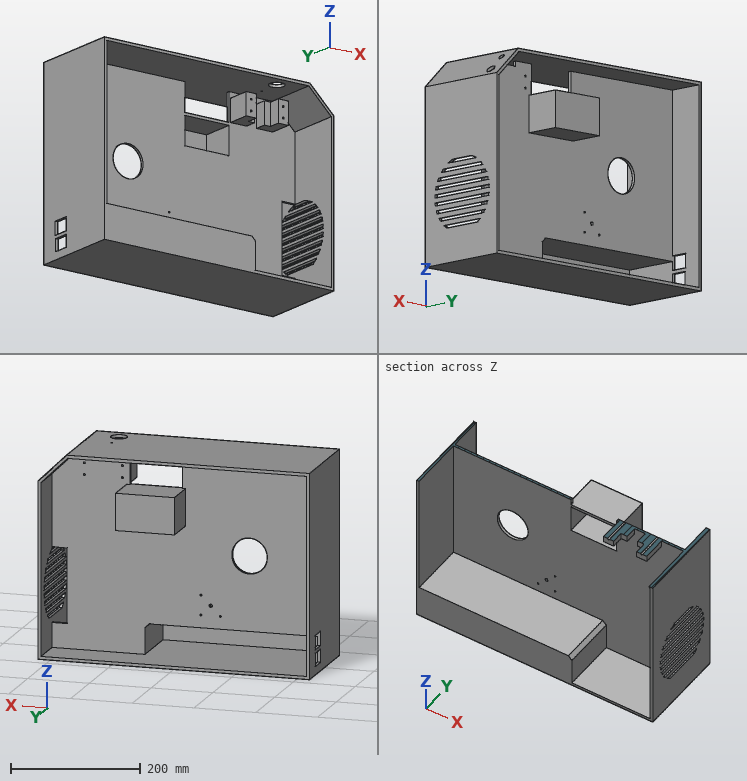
import cadquery as cq

WIDTH = 440.0
DEPTH = 160.0
HEIGHT = 330.0
INNER_WIDTH = 430.0
WALL = (WIDTH - INNER_WIDTH) / 2
CORNER_X = 46.0
CORNER_Z = 45.0

DIVIDER_FRONT = 96.0
DIVIDER_BACK = DIVIDER_FRONT + WALL

BAY_RIGHT = 289.5
BAY_TOP = 59.5
BAY_CHAMFER = 6.5

PORT_Y = DIVIDER_BACK
UPPER_PORT = (28.5, 40.5, 63.5)
LOWER_PORT = (27.5, 13.5, 34.8)

FAN_SIZE = 121.0
FAN_BOTTOM = 45.0
FAN_THICKNESS = 24.0
GRILLE_Y = 82.5
GRILLE_Z = FAN_BOTTOM + FAN_SIZE / 2
SLOT_COUNT = 9
SLOT_PITCH = 12.8
SLOT_START = 55.5
SLOT_GAP = 5.0
SLOT_BEVEL = WALL / 2

ROUND_OPENING_X = 115.5
ROUND_OPENING_Z = 174.5
ROUND_OPENING_DIAMETER = 57.0
WINDOW_LEFT = 224.0
WINDOW_WIDTH = 85.0
WINDOW_BOTTOM = 275.0
POCKET_BOTTOM = 220.5
POCKET_TOP = WINDOW_BOTTOM - WALL
MOUNT_X = 178.0
MOUNT_Z = 90.5
MOUNT_HALF_SPACING = 16.0
MOUNT_CENTRE_DIAMETER = 5.0
SCREW_DIAMETER = 2.5

BLOCKS_X = 352.0
BLOCK_GAP = 19.5
BLOCK_BOTTOM = 275.0
BLOCK_HEIGHT = 39.5
BLOCK_DEPTH = 41.5
BLOCK_WIDTH = 19.5
LEDGE_WIDTH = 11.5
LEDGE_DEPTH = BLOCK_DEPTH / 2
BLOCK_SCREW_OFFSET = 31.0
BLOCK_SCREW_HEIGHTS = (10.0, 29.0)
NOTCH_BOTTOM = 317.0

TOP_HOLE_X = 349.5
TOP_HOLE_Y = 26.0
TOP_HOLE_DIAMETER = 26.0
TOP_PILOT_Y = 65.5
SLOPE_HOLE_Y = 135.0
SLOPE_HOLES = ((405.5, 9.5), (428.5, 14.5))


def box(x_range, y_range, z_range):
    """Axis-aligned block spanning the given ranges."""
    (x0, x1), (y0, y1), (z0, z1) = x_range, y_range, z_range
    return cq.Workplane("XY").box(x1 - x0, y1 - y0, z1 - z0, centered=False).translate((x0, y0, z0))


def extrude_y(outline, y0, y1):
    """Extrude an XZ outline from y0 to y1."""
    return outline.extrude(-(y1 - y0)).translate((0, y0, 0))


def cylinder(start, direction, length, diameter):
    return cq.Workplane(
        cq.Solid.makeCylinder(diameter / 2, length, cq.Vector(*start), cq.Vector(*direction))
    )


def divider_hole(x, z, diameter):
    return cylinder((x, 0, z), (0, 1, 0), DEPTH, diameter)


def case_outline():
    return cq.Workplane("XZ").polyline([
        (0, 0),
        (WIDTH, 0),
        (WIDTH, HEIGHT - CORNER_Z),
        (WIDTH - CORNER_X, HEIGHT),
        (0, HEIGHT),
    ]).close()


def bay_solid(inset, y0, y1):
    """Bay volume with its walls moved inwards by the inset."""
    bay = box((inset, BAY_RIGHT - inset), (y0, y1), (inset, BAY_TOP - inset))
    return bay.edges(">X and >Z").chamfer(BAY_CHAMFER)


def make_shell():
    outer = extrude_y(case_outline(), 0, DEPTH)
    interior = extrude_y(case_outline().offset2D(-WALL, "intersection"), 0, DEPTH)
    divider = interior.intersect(box((0, WIDTH), (DIVIDER_FRONT, DIVIDER_BACK), (0, HEIGHT)))
    return outer.cut(interior).union(divider)


def add_bay(body):
    body = body.union(bay_solid(0, 0, DIVIDER_BACK))
    return body.cut(bay_solid(WALL, WALL, DIVIDER_BACK))


def cut_ports(body):
    for width, bottom, top in (UPPER_PORT, LOWER_PORT):
        body = body.cut(box((0, WALL), (PORT_Y, PORT_Y + width), (bottom, top)))
    return body


def cut_grille(body):
    """Level slots through the right wall, bevelled on the inside and trimmed to a circle."""
    inner_x = WIDTH - WALL
    disc = cylinder((inner_x, GRILLE_Y, GRILLE_Z), (1, 0, 0), WALL, FAN_SIZE)
    for index in range(SLOT_COUNT):
        low = SLOT_START + index * SLOT_PITCH
        high = low + SLOT_GAP
        slot = cq.Workplane("XZ").polyline([
            (inner_x, low),
            (WIDTH, low),
            (WIDTH, high),
            (inner_x + SLOT_BEVEL, high),
            (inner_x, high + SLOT_BEVEL),
        ]).close()
        body = body.cut(extrude_y(slot, 0, DEPTH).intersect(disc))
    return body


def cut_divider_openings(body):
    through = (DIVIDER_FRONT, DIVIDER_BACK)
    inner_x = WIDTH - WALL
    inner_top = HEIGHT - WALL
    window_x = (WINDOW_LEFT, WINDOW_LEFT + WINDOW_WIDTH)
    notch_x = (BLOCKS_X - BLOCK_GAP / 2, BLOCKS_X + BLOCK_GAP / 2)
    body = body.cut(box((inner_x - FAN_THICKNESS, inner_x), through, (FAN_BOTTOM, FAN_BOTTOM + FAN_SIZE)))
    body = body.cut(box(window_x, through, (WINDOW_BOTTOM, inner_top)))
    body = body.cut(box(notch_x, through, (NOTCH_BOTTOM, inner_top)))
    body = body.cut(divider_hole(ROUND_OPENING_X, ROUND_OPENING_Z, ROUND_OPENING_DIAMETER))
    body = body.cut(divider_hole(MOUNT_X, MOUNT_Z, MOUNT_CENTRE_DIAMETER))
    for side_x, side_z in ((-1, -1), (1, -1), (1, 1)):
        x = MOUNT_X + side_x * MOUNT_HALF_SPACING
        z = MOUNT_Z + side_z * MOUNT_HALF_SPACING
        body = body.cut(divider_hole(x, z, SCREW_DIAMETER))
    return body


def add_pocket(body):
    """Pocket entered from the front whose walls stand behind the divider."""
    x0, x1 = WINDOW_LEFT, WINDOW_LEFT + WINDOW_WIDTH
    walls = box((x0 - WALL, x1 + WALL), (DIVIDER_FRONT, DEPTH), (POCKET_BOTTOM - WALL, POCKET_TOP + WALL))
    hollow = box((x0, x1), (DIVIDER_FRONT, DEPTH - WALL), (POCKET_BOTTOM, POCKET_TOP))
    return body.union(walls).cut(hollow)


def add_mounting_blocks(body):
    z_range = (BLOCK_BOTTOM, BLOCK_BOTTOM + BLOCK_HEIGHT)
    ledge_start = BLOCK_GAP / 2
    block_start = ledge_start + LEDGE_WIDTH
    ledge = box((ledge_start, block_start), (DIVIDER_FRONT - LEDGE_DEPTH, DIVIDER_FRONT), z_range)
    block = box(
        (block_start, block_start + BLOCK_WIDTH), (DIVIDER_FRONT - BLOCK_DEPTH, DIVIDER_FRONT), z_range
    )
    right = ledge.union(block)
    body = body.union(right.translate((BLOCKS_X, 0, 0)))
    body = body.union(right.mirror("YZ").translate((BLOCKS_X, 0, 0)))
    for side in (-1, 1):
        for height in BLOCK_SCREW_HEIGHTS:
            x = BLOCKS_X + side * BLOCK_SCREW_OFFSET
            body = body.cut(divider_hole(x, BLOCK_BOTTOM + height, SCREW_DIAMETER))
    return body


def cut_top_holes(body):
    down = (0, 0, -1)
    body = body.cut(cylinder((TOP_HOLE_X, TOP_HOLE_Y, HEIGHT), down, WALL, TOP_HOLE_DIAMETER))
    body = body.cut(cylinder((TOP_HOLE_X, TOP_PILOT_Y, HEIGHT), down, WALL, SCREW_DIAMETER))
    inwards = cq.Vector(-CORNER_Z, 0, -CORNER_X).normalized()
    for x, diameter in SLOPE_HOLES:
        z = HEIGHT - (x - (WIDTH - CORNER_X)) * CORNER_Z / CORNER_X
        start = cq.Vector(x, SLOPE_HOLE_Y, z) - inwards * WALL
        body = body.cut(cylinder(start.toTuple(), inwards.toTuple(), 3 * WALL, diameter))
    return body


result = make_shell()
result = add_bay(result)
result = cut_ports(result)
result = cut_grille(result)
result = cut_divider_openings(result)
result = add_pocket(result)
result = add_mounting_blocks(result)
result = cut_top_holes(result)